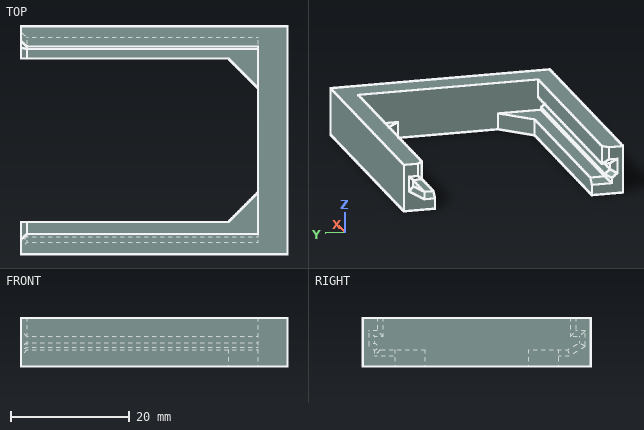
import cadquery as cq
import math

length = 45.0
width = 38.5
height = 8.25
end_wall = 5.0
cavity_length = length - end_wall

lip_width = 3.45
left_groove_wall = 1.95
right_groove_wall = 2.02
ledge_width = 5.5
left_ramp_foot = 3.85
right_step_width = 2.95

lip_bottom = 5.1
ledge_height = 2.85
groove_floor = 4.0
right_step_top = 3.25

gusset = 5.0
mouth_flare = 1.0
cut_margin = 4.5

left_face = width / 2
right_face = -width / 2


def mitred_offset(points, distance):
    """Grow a counter-clockwise polygon outwards, keeping its corners sharp."""
    grown = []
    for index, (y, z) in enumerate(points):
        previous_y, previous_z = points[index - 1]
        next_y, next_z = points[(index + 1) % len(points)]
        angle_in = math.atan2(z - previous_z, y - previous_y)
        angle_out = math.atan2(next_z - z, next_y - y)
        half_turn = math.remainder(angle_out - angle_in, 2 * math.pi) / 2
        direction = angle_in + half_turn - math.pi / 2
        reach = distance / math.cos(half_turn)
        grown.append((y + reach * math.cos(direction), z + reach * math.sin(direction)))
    return grown


def slide_channel():
    """Stepped channel between the rails, with a flared mouth."""
    cutter_top = height + cut_margin
    profile = [
        (right_face + lip_width, cutter_top),
        (right_face + lip_width, lip_bottom),
        (right_face + right_groove_wall, lip_bottom),
        (right_face + right_groove_wall, groove_floor),
        (right_face + right_step_width, right_step_top),
        (right_face + right_step_width, ledge_height),
        (left_face - left_ramp_foot, ledge_height),
        (left_face - left_groove_wall, groove_floor),
        (left_face - left_groove_wall, lip_bottom),
        (left_face - lip_width, lip_bottom),
        (left_face - lip_width, cutter_top),
    ]
    channel = cq.Workplane("YZ").polyline(profile).close().extrude(cavity_length)
    mouth = (
        cq.Workplane("YZ")
        .polyline(mitred_offset(profile, mouth_flare))
        .close()
        .workplane(offset=mouth_flare)
        .polyline(profile)
        .close()
        .loft(ruled=True)
    )
    return channel.union(mouth)


def floor_opening():
    """Opening through the floor between the ledges, leaving corner gussets."""
    half_gap = width / 2 - ledge_width
    outline = [
        (0, half_gap),
        (cavity_length - gusset, half_gap),
        (cavity_length, half_gap - gusset),
        (cavity_length, gusset - half_gap),
        (cavity_length - gusset, -half_gap),
        (0, -half_gap),
    ]
    return cq.Workplane("XY").polyline(outline).close().extrude(ledge_height)


block = cq.Workplane("XY").box(length, width, height, centered=(False, True, False))
result = block.cut(slide_channel()).cut(floor_opening())